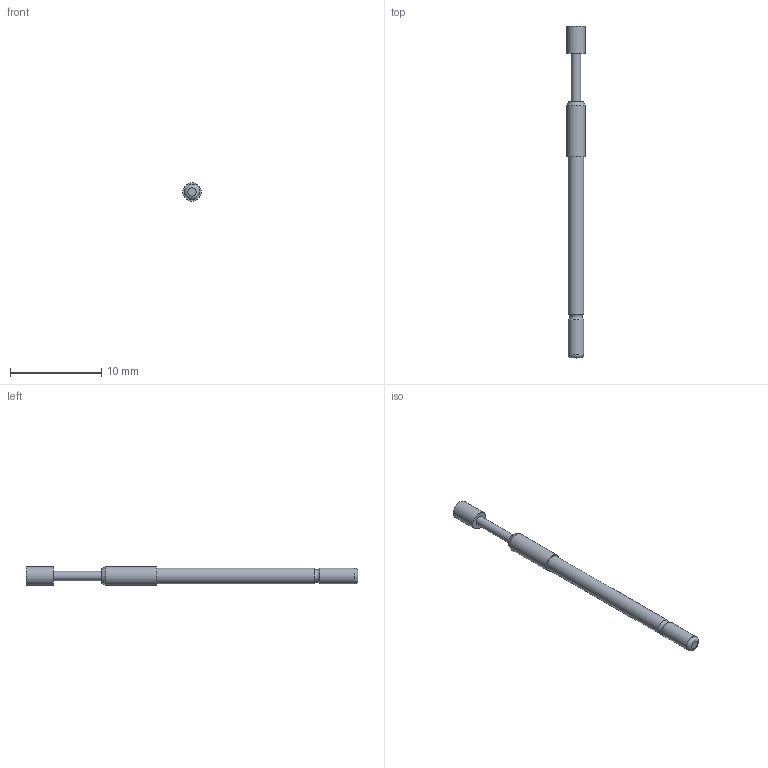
import cadquery as cq


TOTAL_LENGTH = 36.3
HEAD_LENGTH = 3.0
COLLAR_START = 22.0
COLLAR_LENGTH = 6.0
GROOVE_START = 4.2
GROOVE_WIDTH = 0.6

HEAD_DIAMETER = 2.0
PLUNGER_DIAMETER = 1.0
COLLAR_DIAMETER = 2.0
BARREL_DIAMETER = 1.7
GROOVE_DIAMETER = 1.4

COLLAR_CHAMFER_LENGTH = 0.4
COLLAR_CHAMFER_DEPTH = 0.2
TAIL_FILLET_RADIUS = 0.4


def cylinder(diameter, start, length):
    """Solid cylinder on the Y axis running from start towards +Y."""
    plane = cq.Workplane("XZ", origin=(0, start, 0))
    return plane.circle(diameter / 2).extrude(-length)


def make_groove():
    """Ring that cuts a round-bottomed groove into the barrel."""
    rim = BARREL_DIAMETER / 2
    waist = GROOVE_DIAMETER / 2
    middle = GROOVE_START + GROOVE_WIDTH / 2
    end = GROOVE_START + GROOVE_WIDTH
    profile = cq.Workplane("XY").moveTo(rim, GROOVE_START).threePointArc((waist, middle), (rim, end)).close()
    return profile.revolve(360, (0, 0, 0), (0, 1, 0))


def make_barrel():
    """Barrel with a rounded tail end and a groove near it."""
    barrel = cylinder(BARREL_DIAMETER, 0, COLLAR_START)
    barrel = barrel.faces("<Y").edges().fillet(TAIL_FILLET_RADIUS)
    return barrel.cut(make_groove())


def make_collar():
    """Press-fit collar, chamfered on the side facing the head."""
    collar = cylinder(COLLAR_DIAMETER, COLLAR_START, COLLAR_LENGTH)
    front_edge = collar.faces(">Y").edges()
    return front_edge.chamfer(COLLAR_CHAMFER_LENGTH, COLLAR_CHAMFER_DEPTH)


def make_plunger():
    """Plunger stem with its cylindrical contact head."""
    head_start = TOTAL_LENGTH - HEAD_LENGTH
    stem_start = COLLAR_START + COLLAR_LENGTH
    stem = cylinder(PLUNGER_DIAMETER, stem_start, head_start - stem_start)
    head = cylinder(HEAD_DIAMETER, head_start, HEAD_LENGTH)
    return stem.union(head)


result = make_barrel().union(make_collar()).union(make_plunger())